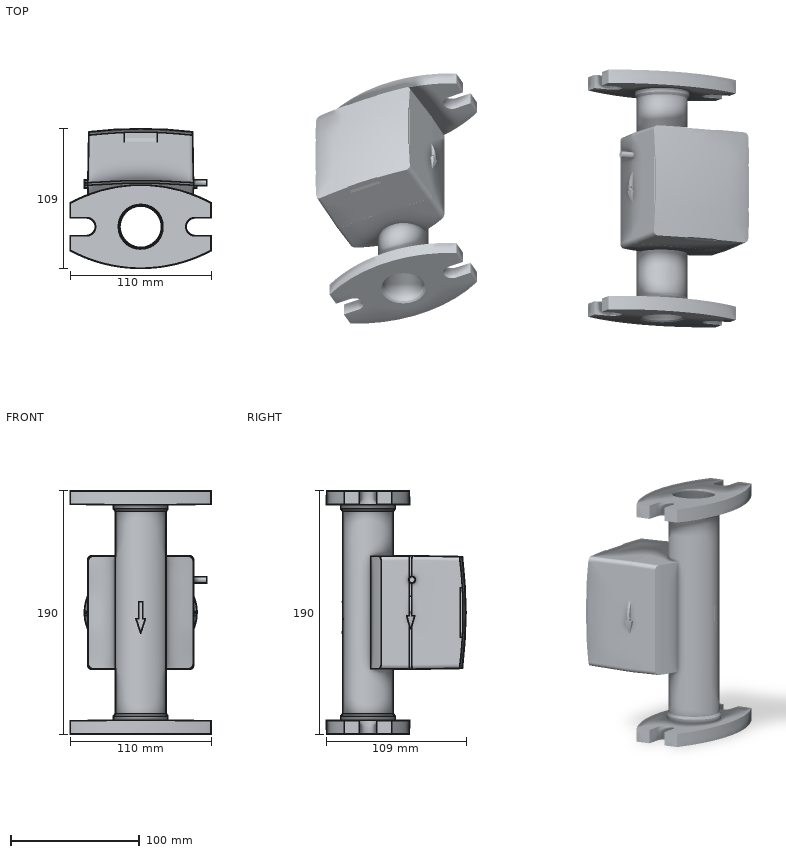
import cadquery as cq
import math

tube_length = 190.0
tube_radius = 19.8
bore_radius = 16.2
bore_chamfer = 1.2
flange_length = 110.0
flange_width = 65.0
flange_end_width = 37.2
flange_rim_thickness = 10.5
flange_hub_thickness = 11.0
slot_width = 13.8
slot_end_x = 35.4
collar_radius = 21.3
collar_height = 3.0
collar_taper_height = 2.0

housing_width = 82.6
housing_height = 88.7
housing_back_y = 76.52
corner_radius = 3.5
draft_angle = 1.0
band_thickness = 2.0
band_rise = 1.7
back_sphere_radius = 345.0
front_apex_y = -0.1
front_edge_y = 10.5

recess_depth = 0.5
cap_recess_width = 25.6
cap_recess_floor_y = 69.1
cap_recess_end_y = 66.5
side_recess_height = 38.4
side_recess_end_y = 72.1

lug_y = 33.3
lug_reach_x = 44.0
lug_arc_radius = 31.6
lug_shaft_width = 2.0
lug_head_width = 6.4
lug_head_z = -2.4
lug_tip_z = -13.6
lug_top_z = 13.6
seal_hole_diameter = 1.5
seal_hole_x = 42.6

flow_shaft_width = 3.4
flow_head_width = 7.4
flow_top_z = 8.4
flow_head_z = -4.7
flow_tip_z = -16.1
flow_arrow_height = 0.1

cable_diameter = 5.0
cable_end_x = 51.7
cable_y = 34.3
cable_z = 25.5

half_length = tube_length / 2
half_width = housing_width / 2
half_height = housing_height / 2
root_x = half_width - 1.0
clearance = 10.0


def arrow_outline(workplane, shaft_width, head_width, top, shoulder, tip):
    """Closed downward arrow, symmetric about the workplane's vertical axis."""
    shaft = shaft_width / 2
    head = head_width / 2
    return workplane.polyline([
        (-shaft, top),
        (shaft, top),
        (shaft, shoulder),
        (head, shoulder),
        (0, tip),
        (-head, shoulder),
        (-shaft, shoulder),
    ]).close()


def flange():
    """Upper oval flange with a slightly conical underside and two open slots."""
    end_x = flange_length / 2
    end_y = flange_end_width / 2
    corner_reach = math.hypot(end_x, end_y)
    oval = (
        cq.Workplane("XY")
        .workplane(offset=half_length)
        .moveTo(-end_x, -end_y)
        .threePointArc((0, -flange_width / 2), (end_x, -end_y))
        .lineTo(end_x, end_y)
        .threePointArc((0, flange_width / 2), (-end_x, end_y))
        .close()
        .extrude(-flange_hub_thickness)
    )
    cone_envelope = (
        cq.Workplane("XZ")
        .polyline([
            (0, half_length),
            (corner_reach, half_length),
            (corner_reach, half_length - flange_rim_thickness),
            (collar_radius, half_length - flange_hub_thickness),
            (0, half_length - flange_hub_thickness),
        ])
        .close()
        .revolve(360, (0, 0), (0, 1))
    )
    plate = oval.intersect(cone_envelope)
    slot_length = 2 * (end_x - slot_end_x)
    for side in (-1, 1):
        slot = (
            cq.Workplane("XY")
            .workplane(offset=half_length)
            .center(side * end_x, 0)
            .slot2D(slot_length, slot_width)
            .extrude(-flange_hub_thickness)
        )
        plate = plate.cut(slot)
    return plate


def tube_core():
    """Round tube with a tapered collar next to each flange."""
    flange_z = half_length - flange_hub_thickness
    collar_z = flange_z - collar_height
    taper_z = collar_z - collar_taper_height
    return (
        cq.Workplane("XZ")
        .polyline([
            (0, -half_length),
            (tube_radius, -half_length),
            (tube_radius, -flange_z),
            (collar_radius, -flange_z),
            (collar_radius, -collar_z),
            (tube_radius, -taper_z),
            (tube_radius, taper_z),
            (collar_radius, collar_z),
            (collar_radius, flange_z),
            (tube_radius, flange_z),
            (tube_radius, half_length),
            (0, half_length),
        ])
        .close()
        .revolve(360, (0, 0), (0, 1))
    )


def flow_arrow():
    """Thin arrow that follows the front of the tube."""
    prism = arrow_outline(
        cq.Workplane("XZ"), flow_shaft_width, flow_head_width, flow_top_z, flow_head_z, flow_tip_z
    ).extrude(tube_radius + clearance)
    skin = cq.Workplane("XY").circle(tube_radius + flow_arrow_height).extrude(tube_length)
    return prism.intersect(skin.translate((0, 0, -half_length)))


def bore():
    """Through bore with a chamfer at both mouths."""
    mouth_radius = bore_radius + bore_chamfer
    chamfer_z = half_length - bore_chamfer
    return (
        cq.Workplane("XZ")
        .polyline([
            (0, -half_length),
            (mouth_radius, -half_length),
            (bore_radius, -chamfer_z),
            (bore_radius, chamfer_z),
            (mouth_radius, half_length),
            (0, half_length),
        ])
        .close()
        .revolve(360, (0, 0), (0, 1))
    )


def make_tube():
    """Tube with both flanges and the flow arrow, bored through."""
    upper_flange = flange()
    lower_flange = upper_flange.mirror("XY")
    return tube_core().union(upper_flange).union(lower_flange).union(flow_arrow()).cut(bore())


def rounded_block(start_y, length, taper):
    """Block of the full housing size at start_y, extruded along Y and narrowing by taper."""
    direction = 1 if length > 0 else -1
    plane = cq.Plane(origin=(0, start_y, 0), xDir=(1, 0, 0), normal=(0, direction, 0))
    block = cq.Workplane(plane).rect(housing_width, housing_height).extrude(abs(length), taper=taper)
    return block.edges("not(|X or |Z)").fillet(corner_radius)


def behind_arc(apex_y, edge_y):
    """Everything behind an arc along X through apex_y in the middle and edge_y at both side walls."""
    outer_x = half_width + clearance
    far_y = housing_back_y + clearance
    return (
        cq.Workplane("XY")
        .workplane(offset=-half_height - clearance)
        .moveTo(-half_width, edge_y)
        .threePointArc((0, apex_y), (half_width, edge_y))
        .lineTo(outer_x, edge_y)
        .lineTo(outer_x, far_y)
        .lineTo(-outer_x, far_y)
        .lineTo(-outer_x, edge_y)
        .close()
        .extrude(housing_height + 2 * clearance)
    )


def housing_shell():
    """Undrafted band between two drafted halves, with a domed back and an arched front."""
    band_edge_back_y = lug_y + band_thickness / 2
    band_edge_front_y = lug_y - band_thickness / 2
    behind_band = behind_arc(band_edge_back_y + band_rise, band_edge_back_y)
    behind_band_front = behind_arc(band_edge_front_y + band_rise, band_edge_front_y)
    behind_front = behind_arc(front_apex_y, front_edge_y)

    band_depth = band_rise + band_thickness
    band = rounded_block(band_edge_front_y, band_depth, 0)
    back_half = rounded_block(lug_y, housing_back_y - lug_y, draft_angle)
    front_half = rounded_block(lug_y + band_rise, front_apex_y - lug_y - band_rise, draft_angle)
    dome = cq.Workplane("XY").sphere(back_sphere_radius)
    dome = dome.translate((0, housing_back_y - back_sphere_radius, 0))

    return (
        band.intersect(behind_band_front)
        .cut(behind_band)
        .union(back_half.intersect(behind_band))
        .union(front_half.cut(behind_band_front))
        .intersect(dome)
        .intersect(behind_front)
    )


def wall_offset(wall, y):
    """Distance of a drafted wall from the middle at depth y behind the band."""
    return wall - (y - lug_y) * math.tan(math.radians(draft_angle))


def cap_recess():
    """Recess in the top wall with a sloped end, open at the back."""
    far_y = housing_back_y + clearance
    roof_z = half_height + clearance
    end_z = wall_offset(half_height, cap_recess_end_y)
    floor_z = wall_offset(half_height, cap_recess_floor_y) - recess_depth
    far_z = wall_offset(half_height, far_y) - recess_depth
    return (
        cq.Workplane("YZ")
        .polyline([
            (cap_recess_end_y, roof_z),
            (cap_recess_end_y, end_z),
            (cap_recess_floor_y, floor_z),
            (far_y, far_z),
            (far_y, roof_z),
        ])
        .close()
        .extrude(cap_recess_width / 2, both=True)
    )


def side_recess():
    """Plain recess in the right wall, open at the back."""
    far_y = housing_back_y + clearance
    outer_x = half_width + clearance
    return (
        cq.Workplane("XY")
        .polyline([
            (outer_x, side_recess_end_y),
            (wall_offset(half_width, side_recess_end_y) - recess_depth, side_recess_end_y),
            (wall_offset(half_width, far_y) - recess_depth, far_y),
            (outer_x, far_y),
        ])
        .close()
        .extrude(side_recess_height / 2, both=True)
    )


def seal_lug():
    """Arrow-shaped lug on the right wall with a crowned face."""
    prism = arrow_outline(
        cq.Workplane("YZ").center(lug_y, 0),
        lug_shaft_width, lug_head_width, lug_top_z, lug_head_z, lug_tip_z,
    ).extrude(lug_reach_x)
    crown = (
        cq.Workplane("XZ")
        .center(lug_reach_x - lug_arc_radius, 0)
        .circle(lug_arc_radius)
        .extrude(-housing_back_y)
    )
    inner_side = cq.Workplane("XY").box(2 * root_x, 2 * housing_back_y, housing_height)
    return prism.intersect(crown).cut(inner_side)


def seal_hole():
    """Hole along Y through the right lug."""
    return (
        cq.Workplane("XZ")
        .center(seal_hole_x, 0)
        .circle(seal_hole_diameter / 2)
        .extrude(-housing_back_y)
    )


def make_housing():
    """Housing with recesses on four walls and lugs on both sides, seated on the tube."""
    housing = housing_shell()
    lug = seal_lug().cut(seal_hole())
    recess_top = cap_recess()
    recess_right = side_recess()
    housing = housing.cut(recess_top).cut(recess_top.mirror("XY"))
    housing = housing.cut(recess_right).cut(recess_right.mirror("YZ"))
    housing = housing.union(lug).union(lug.mirror("YZ"))
    tube_seat = cq.Workplane("XY").circle(tube_radius).extrude(half_length, both=True)
    return housing.cut(tube_seat)


def make_cable(housing):
    """Round cable stub that butts against the right wall of the housing."""
    stub = (
        cq.Workplane("YZ")
        .workplane(offset=root_x)
        .center(cable_y, cable_z)
        .circle(cable_diameter / 2)
        .extrude(cable_end_x - root_x)
    )
    return stub.cut(housing)


tube = make_tube()
housing = make_housing()
cable = make_cable(housing)

result = cq.Compound.makeCompound([tube.val(), housing.val(), cable.val()])